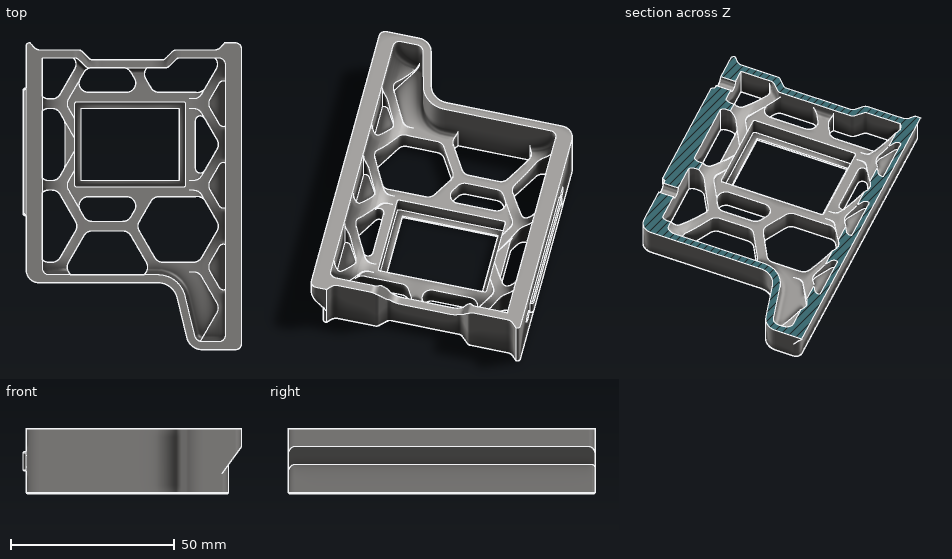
import cadquery as cq
import math

height = 20.0
base_width = 62.0
top_width = 66.0
length = 94.0
front_y = 20.5
rear_y = 91.8
wall = 2.5
side_wall = 5.0
bottom_chamfer = 0.4
centre_x = base_width / 2

front_corner_radius = 4.0
rear_left_radius = 1.0
right_corner_radius = 2.0
elbow_radius = 6.0
toe_radius = 5.0

arm_angle = math.radians(13.6)
toe_centre_x = 54.0

horn_width = 1.2
horn_run = 2.0
horn_radius = 2.5
step_depth = 3.0
step_half_width = 11.3
step_radius = 1.5
flank_offset = math.tan(math.radians(45 / 2))

overhang_low_z = 9.0
overhang_high_z = 14.5

floor_z = 6.6
ramp_radius = 11.0
foot_radius = 2.0

notch_floor_z = 11.3
notch_floor_half_width = 11.0
notch_rim_half_width = 14.55
notch_top_radius = 3.0
notch_bottom_radius = 4.7

window_x = 31.85
window_y = 62.85
opening_length = 30.0
opening_width = 22.0
ledge_width = 2.0
frame_width = 3.0
recess_floor_z = 0.8
recess_corner_radius = 0.6

cell_flats = 22.0
cell_gap = 3.0
cell_radius = 2.8
sliver_radius = 1.5
cell_reach = 0.9
cell_column_x = 46.55
cell_pitch = cell_flats + cell_gap
hexagon_ratio = math.cos(math.radians(30))
column_pitch = cell_pitch * hexagon_ratio

tab_y = 60.6
tab_z = height / 2
tab_length = 39.2
tab_height = 6.0
tab_thickness = 1.0
tab_edge = 0.4
tab_end_radius = 0.9
screw_spacing = 45.2
screw_diameter = 3.6


def rounded_path(corners, plane="XY"):
    """Closed outline through (x, y, radius) corners, each rounded with a tangent arc."""
    count = len(corners)
    pieces = []
    for i, (x, y, radius) in enumerate(corners):
        if radius == 0:
            pieces.append([(x, y)])
            continue
        before = corners[i - 1]
        after = corners[(i + 1) % count]
        toward_before = cq.Vector(before[0] - x, before[1] - y).normalized()
        toward_after = cq.Vector(after[0] - x, after[1] - y).normalized()
        half_angle = toward_before.getAngle(toward_after) / 2
        tangent = radius / math.tan(half_angle)
        bulge = radius / math.sin(half_angle) - radius
        corner = cq.Vector(x, y)
        middle = corner + (toward_before + toward_after).normalized() * bulge
        start = corner + toward_before * tangent
        end = corner + toward_after * tangent
        pieces.append([(p.x, p.y) for p in (start, middle, end)])

    path = cq.Workplane(plane).moveTo(*pieces[0][-1])
    for piece in pieces[1:] + pieces[:1]:
        path = path.lineTo(*piece[0])
        if len(piece) > 1:
            path = path.threePointArc(*piece[1:])
    return path.close()


def arm_x(y, inset=0.0):
    """X of the slanted arm face at the given Y, moved inwards by inset."""
    face_x = toe_centre_x - (toe_radius - inset) / math.cos(arm_angle)
    return face_x - (y - toe_radius) * math.tan(arm_angle)


def rear_step(inset):
    """Corners of the stepped rear wall from right to left, moved inwards by inset."""
    y_outer = rear_y - inset
    y_inner = y_outer - step_depth
    lower_half = step_half_width + inset * flank_offset
    upper_half = lower_half + step_depth
    return [
        (centre_x + upper_half, y_outer, step_radius),
        (centre_x + lower_half, y_inner, step_radius),
        (centre_x - lower_half, y_inner, step_radius),
        (centre_x - upper_half, y_outer, step_radius),
    ]


def outer_outline(width, rear_right_radius):
    horn_x = base_width - horn_width
    return rounded_path(
        [
            (0, front_y, front_corner_radius),
            (arm_x(front_y), front_y, elbow_radius),
            (arm_x(0), 0, toe_radius),
            (width, 0, right_corner_radius),
            (width, length, rear_right_radius),
            (horn_x, length, 0),
            (horn_x - horn_run, rear_y, horn_radius),
            *rear_step(0),
            (horn_width + horn_run, rear_y, horn_radius),
            (horn_width, length, 0),
            (0, length, rear_left_radius),
        ]
    )


inner_front_y = front_y + wall
inner_right_x = top_width - side_wall
inner_rear_y = rear_y - wall


def pocket_outline():
    return rounded_path(
        [
            (side_wall, inner_front_y, 0),
            (arm_x(inner_front_y, wall), inner_front_y, elbow_radius + wall),
            (arm_x(wall, wall), wall, toe_radius - wall),
            (inner_right_x, wall, 0),
            (inner_right_x, inner_rear_y, 0),
            *rear_step(wall),
            (side_wall, inner_rear_y, 0),
        ]
    )


def make_body():
    base = outer_outline(base_width, rear_left_radius).extrude(height)
    base = base.faces("<Z").chamfer(bottom_chamfer)
    slope = (overhang_high_z - overhang_low_z) / (top_width - base_width)
    start_x = base_width - right_corner_radius
    overhang_zone = (
        cq.Workplane("XZ")
        .polyline(
            [
                (start_x, overhang_low_z - slope * right_corner_radius),
                (top_width, overhang_high_z),
                (top_width, height),
                (start_x, height),
            ]
        )
        .close()
        .extrude(-length)
    )
    upper = outer_outline(top_width, right_corner_radius).extrude(height)
    return base.union(upper.intersect(overhang_zone))


def make_ramp(x, inward):
    """Large fillet along a side wall at x; inward is +1 or -1 along X."""
    middle = ramp_radius * (1 - math.sqrt(0.5))
    return (
        cq.Workplane("XZ", origin=(x, 0, floor_z))
        .lineTo(inward * ramp_radius, 0)
        .threePointArc((inward * middle, middle), (0, ramp_radius))
        .close()
        .extrude(-length)
    )


def round_foot(pocket):
    """Round the foot of the pocket walls, but not the lines where the ramps run out."""
    foot_edges = []
    for edge in pocket.edges("not(|Z or |Y)").vals():
        if edge.BoundingBox().zmin < floor_z + ramp_radius:
            foot_edges.append(edge)
    return pocket.newObject(foot_edges).fillet(foot_radius)


def rounded_region(solid, radius):
    """Prism with the footprint of solid, convex corners rounded."""
    footprint = cq.Workplane("XY").add(solid.faces("<Z").wires().vals()[0]).toPending()
    return footprint.offset2D(-radius).offset2D(radius).extrude(height)


def hexagon(x, y):
    diameter = cell_flats / hexagon_ratio
    return cq.Workplane("XY").center(x, y).polygon(6, diameter).extrude(height)


def window_box(margin):
    """Full-height box around the window opening, wider by margin on every side."""
    size_x = opening_length + 2 * margin
    size_y = opening_width + 2 * margin
    return cq.Workplane("XY").center(window_x, window_y).rect(size_x, size_y).extrude(height)


def clipped_cell(x, y):
    """Honeycomb cell clipped to the pocket, then rounded."""
    return rounded_region(hexagon(x, y).intersect(cell_zone), cell_radius)


def sliver_cell(x, y):
    """Rounded honeycomb cell, clipped to the pocket with tighter corners at the clip."""
    return rounded_region(rounded_region(hexagon(x, y), cell_radius).intersect(cell_zone), sliver_radius)


def closed_cell_centres():
    """Cells along the right ramp and the one in the arm stop at the floor."""
    arm_row = -2
    yield cell_column_x, window_y + arm_row * cell_pitch
    for row in (-1.5, -0.5, 0.5):
        yield cell_column_x + column_pitch, window_y + row * cell_pitch


def open_cell_centres():
    """Cells of the three columns that pass through the floor."""
    for column, rows in ((-2, (-1, 0, 1)), (-1, (-1.5, -0.5, 0.5)), (0, (-1, 0, 1))):
        for row in rows:
            yield cell_column_x + column * column_pitch, window_y + row * cell_pitch


def make_ramp_fill():
    """Side ramps with rounded ends, hollowed by the honeycomb down to the floor."""
    ramps = make_ramp(side_wall, 1).union(make_ramp(inner_right_x, -1))
    ramped_pocket = round_foot(plain_pocket.cut(ramps))
    fill = rounded_pocket.cut(ramped_pocket)
    for centre in closed_cell_centres():
        fill = fill.cut(sliver_cell(*centre).translate((0, 0, floor_z)))
    for centre in open_cell_centres():
        fill = fill.cut(clipped_cell(*centre).translate((0, 0, floor_z)))
    return fill


def cut_open_cells(body):
    """Run the open cells through the floor, leaving a frame around the window."""
    through_zone = pocket_outline().extrude(height)
    frame = window_box(ledge_width + frame_width)
    for centre in open_cell_centres():
        beside_frame = centre == (cell_column_x, window_y)
        corner_radius = sliver_radius if beside_frame else cell_radius
        opening = rounded_region(clipped_cell(*centre).cut(frame), corner_radius)
        body = body.cut(opening.intersect(through_zone))
    return body


def cut_window(body):
    recess = window_box(ledge_width).edges("|Z").fillet(recess_corner_radius)
    return body.cut(recess.translate((0, 0, recess_floor_z))).cut(window_box(0))


def make_notch():
    depth = 2 * (wall + step_depth)
    above = 2 * height
    end_x = notch_rim_half_width + notch_top_radius
    corners = [
        (-end_x, above, 0),
        (-end_x, height, 0),
        (-notch_rim_half_width, height, notch_top_radius),
        (-notch_floor_half_width, notch_floor_z, notch_bottom_radius),
        (notch_floor_half_width, notch_floor_z, notch_bottom_radius),
        (notch_rim_half_width, height, notch_top_radius),
        (end_x, height, 0),
        (end_x, above, 0),
    ]
    return rounded_path(corners, plane="XZ").extrude(depth).translate((centre_x, rear_y, 0))


def make_tab():
    """Raised plate on the left side; its inner half is buried in the wall."""
    return (
        cq.Workplane("XY")
        .box(2 * tab_thickness, tab_length, tab_height)
        .edges("|Z and <X")
        .fillet(tab_end_radius)
        .faces("<Z or >Z")
        .edges("<X")
        .chamfer(tab_edge)
        .translate((0, tab_y, tab_z))
    )


def make_screw_holes():
    centres = [(tab_y + side * screw_spacing / 2, tab_z) for side in (-1, 1)]
    drill_depth = side_wall + ramp_radius
    return cq.Workplane("YZ").pushPoints(centres).circle(screw_diameter / 2).extrude(drill_depth)


plain_pocket = pocket_outline().extrude(height - floor_z).translate((0, 0, floor_z))
rounded_pocket = round_foot(plain_pocket)
cell_zone = pocket_outline().offset2D(cell_reach).extrude(height)

result = make_body().cut(rounded_pocket).union(make_ramp_fill())
result = cut_open_cells(result)
result = cut_window(result)
result = result.cut(make_notch()).union(make_tab()).cut(make_screw_holes())